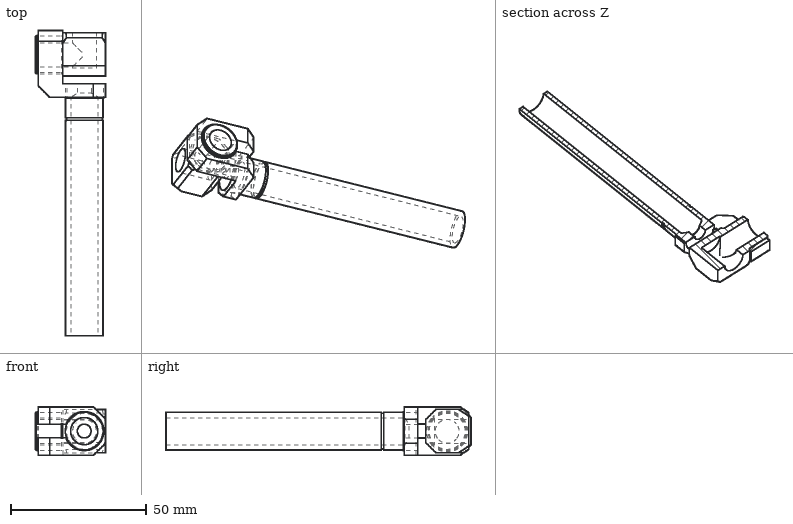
import cadquery as cq


height = 18.0
bracket_width = 25.0
wall = 9.2
arm_inner_y = -10.7
arm_outer_y = -15.8
back_y = height / 2
outer_corner_chamfer = 4.3
back_chamfer = 4.0
arm_end_chamfer = 4.5
slit_height = 5.1
ring_height = 0.3
ring_diameter = 14.5

journal_diameter = 14.0
journal_radius = journal_diameter / 2
flare_length = 0.7
flare_radius = 7.6

block_height = 16.0
block_back_y = 8.1
block_front_y = -7.9
block_front_chamfer = 3.8
back_strip_depth = 1.8
back_strip_drop = 1.2
cone_back_radius = 9.6
cone_front_radius = 16.5
trunnion_projection = 1.0
trunnion_tip_chamfer = 0.3
elbow_diameter = 8.8
elbow_end_y = -4.7

tube_x = (wall + bracket_width) / 2
tube_length = 113 - (back_y - arm_inner_y)
tube_bore_diameter = 10.1
funnel_exit_diameter = 5.1
funnel_length = 1.5
throat_length = 3.4
groove_start = 12.7
groove_width = 0.9
groove_depth = 0.3


def x_cylinder(diameter, x_start, x_end):
    """Cylinder on the swivel axis."""
    return cq.Workplane("YZ").workplane(offset=x_start).circle(diameter / 2).extrude(x_end - x_start)


def y_cylinder(diameter, y_start, y_end):
    """Cylinder on the tube axis, running from y_start towards -Y."""
    plane = cq.Workplane("XZ", origin=(tube_x, y_start, 0))
    return plane.circle(diameter / 2).extrude(y_start - y_end)


def make_journal():
    """Trunnion that widens in a short cone where it meets the swivel block."""
    profile = [
        (-trunnion_projection, 0),
        (-trunnion_projection, journal_radius - trunnion_tip_chamfer),
        (-trunnion_projection + trunnion_tip_chamfer, journal_radius),
        (wall - flare_length, journal_radius),
        (wall, flare_radius),
        (wall, 0),
    ]
    return cq.Workplane("XY").polyline(profile).close().revolve(360, (0, 0, 0), (1, 0, 0))


def make_bracket():
    outline = [
        (0, back_y),
        (wall, back_y),
        (wall, arm_inner_y),
        (bracket_width, arm_inner_y),
        (bracket_width, arm_outer_y),
        (outer_corner_chamfer, arm_outer_y),
        (0, arm_outer_y + outer_corner_chamfer),
    ]
    body = cq.Workplane("XY").polyline(outline).close().extrude(height / 2, both=True)
    body = body.faces(">Y").edges("|X").chamfer(back_chamfer)
    body = body.faces(">X").edges("|Y").chamfer(arm_end_chamfer)

    body = body.union(x_cylinder(ring_diameter, -ring_height, wall))
    body = body.union(y_cylinder(ring_diameter, arm_inner_y, arm_outer_y - ring_height))

    body = body.cut(make_journal())
    body = body.cut(y_cylinder(journal_diameter, arm_inner_y, arm_outer_y - ring_height))

    slit_start = (-ring_height, arm_outer_y - ring_height)
    slit = cq.Workplane("XY").moveTo(*slit_start).lineTo(tube_x, slit_start[1])
    slit = slit.lineTo(tube_x, arm_inner_y).lineTo(wall, arm_inner_y).lineTo(wall, 0)
    slit = slit.lineTo(-ring_height, 0).close().extrude(slit_height / 2, both=True)
    return body.cut(slit)


def make_swivel_block():
    half = block_height / 2
    profile = [
        (block_front_y, half - block_front_chamfer),
        (block_front_y + block_front_chamfer, half),
        (block_back_y - back_strip_depth, half),
        (block_back_y, half - back_strip_drop),
    ]
    mirrored = [(y, -z) for y, z in reversed(profile)]
    body = cq.Workplane("YZ").workplane(offset=wall).polyline(profile + mirrored).close()
    body = body.extrude(bracket_width - wall)

    cone = cq.Workplane("XZ", origin=(tube_x, block_back_y, 0)).circle(cone_back_radius)
    cone = cone.workplane(offset=block_back_y - block_front_y).circle(cone_front_radius).loft()
    body = body.intersect(cone).union(make_journal())

    body = body.cut(x_cylinder(elbow_diameter, -trunnion_projection, tube_x))
    return body.cut(y_cylinder(elbow_diameter, block_back_y, elbow_end_y))


def make_tube():
    body = y_cylinder(journal_diameter, arm_inner_y, arm_inner_y - tube_length)

    bore = [
        (0, 0),
        (funnel_exit_diameter / 2, 0),
        (funnel_exit_diameter / 2, -throat_length),
        (tube_bore_diameter / 2, -throat_length - funnel_length),
        (tube_bore_diameter / 2, -tube_length),
        (0, -tube_length),
    ]
    bore = cq.Workplane("XY", origin=(tube_x, arm_inner_y, 0)).polyline(bore).close()
    body = body.cut(bore.revolve(360, (0, 0, 0), (0, 1, 0)))

    groove_y = arm_inner_y - groove_start
    groove = y_cylinder(journal_diameter, groove_y, groove_y - groove_width)
    core = y_cylinder(journal_diameter - 2 * groove_depth, groove_y, groove_y - groove_width)
    return body.cut(groove.cut(core))


bracket = make_bracket()
swivel_block = make_swivel_block()
tube = make_tube()

result = cq.Compound.makeCompound([bracket.val(), swivel_block.val(), tube.val()])